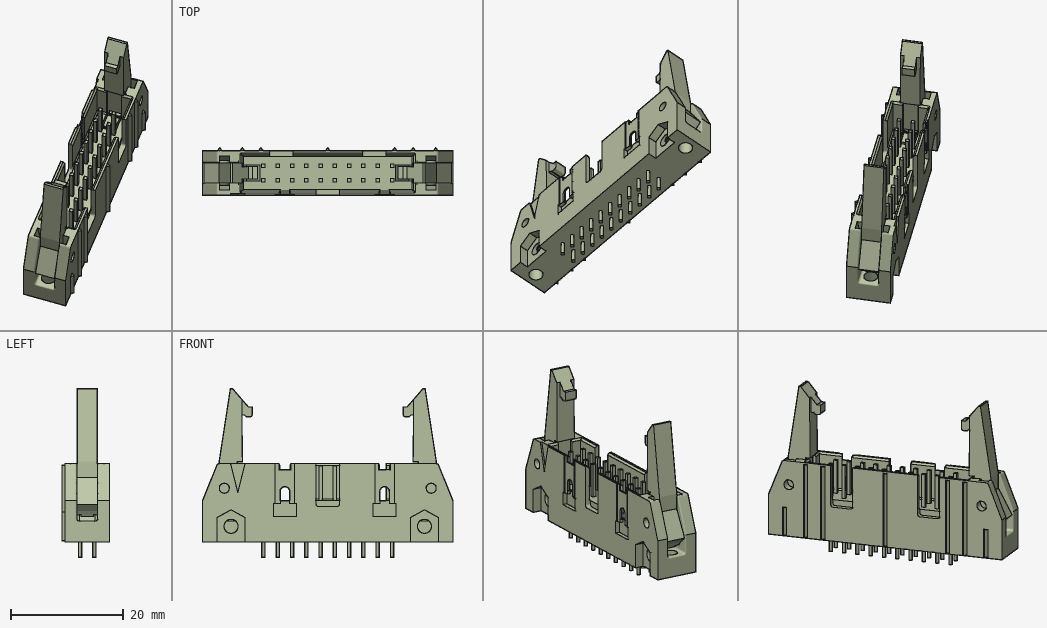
import cadquery as cq
import math


LENGTH = 44.7
DEPTH = 8.0
HEIGHT = 14.05
HALF_LENGTH = LENGTH / 2
HALF_DEPTH = DEPTH / 2
SHOULDER_HEIGHT = 7.4
SHOULDER_RUN = 2.7
SHOULDER_RADIUS = 0.5

CAVITY_HALF_LENGTH = 15.35
WALL = 0.8
CAVITY_HALF_DEPTH = HALF_DEPTH - WALL
FLOOR_Z = 7.4
FLOOR_CHAMFER = 0.25
LEAD_IN = 0.35

SLOT_WIDTH = 3.65
SLOT_HALF_WIDTH = SLOT_WIDTH / 2
SLOT_INNER_X = 15.9
SLOT_FLOOR_Z = 3.75
SLOT_CORNER_RADIUS = 0.4
SLOT_RIM_RADIUS = 0.25
CHANNEL_WIDTH = 2.8
RAMP_FOOT_X = 14.5
RAMP_TOP_X = 12.05
FLOOR_HOLE_X = 20.1
FLOOR_HOLE_DIAMETER = 2.5

PIVOT_X = 18.45
PIVOT_Z = 9.6
PIVOT_DIAMETER = 1.8
PIVOT_HALF_SPAN = 2.2
LEAD_BOTTOM_Y = 2.25
LEAD_TOP_Y = 3.0

GAP_WIDTH = 4.2
GAP_BOTTOM_Z = 6.35
GAP_INNER_Y = CAVITY_HALF_DEPTH - FLOOR_CHAMFER
GAP_RADIUS = 0.45
BACK_GAP_X = 8.3

CLIP_X = (-7.65, 10.15)
CLIP_TRACK_WIDTH = 3.5
CLIP_TRACK_DEPTH = 0.2
CLIP_POCKET_WIDTH = 4.1
CLIP_POCKET_BOTTOM_Z = 4.55
CLIP_POCKET_TOP_Z = 6.9
WINDOW_WIDTH = 1.65
WINDOW_TOP_Z = 9.9
NOTCH_WIDTH = 2.1
RELIEF_INNER_WIDTH = 1.6
NOTCH_BOTTOM_Z = 12.9

NUT_X = 17.25
NUT_WIDTH = 5.0
NUT_SHOULDER_Z = 4.4
NUT_APEX_Z = 5.75
NUT_DEPTH = 1.65
SCREW_DIAMETER = 2.5
SCREW_Z = 2.8
SCREW_DEPTH = 2.7

MARK_X = 16.05
MARK_WIDTH = 2.6
MARK_TIP_Z = 8.85
MARK_DEPTH = 0.3

RIB_WIDTH = 0.8
RIB_HEIGHT = 0.55
RIB_BOTTOM_Z = 0.22
RIB_TOP_Z = 13.72
END_RIB_TOP_Z = 5.35
RIB_X = (-15.25, -11.95, 0.0, 11.95, 15.25)
END_RIB_X = 19.25

PIN_COLUMNS = 10
PIN_ROWS = 2
PIN_PITCH = 2.55
PIN_SIZE = 0.63
PIN_TOP_Z = 13.55
TAIL_DIAMETER = 0.63
TAIL_LENGTH = 2.73

LATCH_WIDTH = 3.6
ARM_TOP_Z = 27.4
ARM_TOP_OUTER_X = 17.4
ARM_TOP_INNER_X = 17.0
ARM_OUTER_X = 19.4
ARM_INNER_X = 15.2
ARM_INNER_TOP_X = 15.35
SHELF_Z = 14.3

FOOT_INNER_X = 16.15
FOOT_TOP_Z = 11.55
FOOT_TIP_X = 22.05
FOOT_TIP_Z = 6.75
FOOT_BEND_X = 20.55
FOOT_BEND_Z = 5.5
FOOT_HEEL_X = 20.05
FOOT_BOTTOM_Z = 4.85

TONGUE_WIDTH = 2.25
TOE_TIP_X = 12.55
TOE_TIP_BOTTOM_Z = 7.0
TOE_BEND_X = 14.85
TOE_BOTTOM_Z = 4.6
TOE_HEEL_X = 19.9
HOOK_TIP_X = 13.45
HOOK_TIP_LENGTH = 0.7
HOOK_TOP_Z = 24.15
HOOK_BOTTOM_Z = 22.35
HOOK_ROUND = 0.4
HOOK_RECESS_X = 14.53
HOOK_RECESS = 0.3


def box(x_min, x_max, y_min, y_max, z_min, z_max):
    size = (x_max - x_min, y_max - y_min, z_max - z_min)
    return cq.Workplane("XY").box(*size, centered=False).translate((x_min, y_min, z_min))


def prism_y(profile, y_min, y_max):
    """Extrude a closed XZ profile from y_min to y_max."""
    return profile.extrude(y_min - y_max).translate((0, y_min, 0))


def polygon_y(points, y_min, y_max):
    return prism_y(cq.Workplane("XZ").polyline(points).close(), y_min, y_max)


def cylinder_y(x, z, diameter, y_min, y_max):
    return prism_y(cq.Workplane("XZ").center(x, z).circle(diameter / 2), y_min, y_max)


def both_ends(shape):
    """A left-end shape together with its mirror image at the right end."""
    return shape.union(shape.mirror("YZ"))


def housing_block():
    shoulder_x = HALF_LENGTH - SHOULDER_RUN
    outline = [
        (-HALF_LENGTH, 0),
        (HALF_LENGTH, 0),
        (HALF_LENGTH, SHOULDER_HEIGHT),
        (shoulder_x, HEIGHT),
        (-shoulder_x, HEIGHT),
        (-HALF_LENGTH, SHOULDER_HEIGHT),
    ]
    block = polygon_y(outline, -HALF_DEPTH, HALF_DEPTH)
    top_corners = block.faces(">Z").edges("|Y")
    return top_corners.fillet(SHOULDER_RADIUS)


def latch_slot():
    slot = box(-LENGTH, -SLOT_INNER_X, -SLOT_HALF_WIDTH, SLOT_HALF_WIDTH, SLOT_FLOOR_Z, 2 * HEIGHT)
    return slot.edges("|X and <Z").fillet(SLOT_CORNER_RADIUS)


def round_slot_rims(body):
    """Round the slot mouths along the ends, the shoulders and the top of the block."""
    tolerance = 0.005

    def on_rim(edge):
        middle = edge.Center()
        at_slot = abs(middle.y) < SLOT_HALF_WIDTH + tolerance
        at_end = abs(middle.x) > HALF_LENGTH - tolerance and middle.z > SLOT_FLOOR_Z - tolerance
        on_side = abs(middle.y) > SLOT_HALF_WIDTH - tolerance and abs(middle.x) > SLOT_INNER_X + tolerance
        above_shoulder = on_side and middle.z > SHOULDER_HEIGHT
        at_shoulder_corner = abs(middle.y) < tolerance and middle.z > SLOT_FLOOR_Z + tolerance
        return at_slot and (at_end or above_shoulder) and not at_shoulder_corner

    rim = [edge for edge in body.edges().vals() if on_rim(edge)]
    return body.newObject(rim).fillet(SLOT_RIM_RADIUS)


def toe_channel():
    """Slot through the cavity end wall, with a ramp rising to the cavity floor."""
    profile = [
        (-SLOT_INNER_X, SLOT_FLOOR_Z),
        (-RAMP_FOOT_X, SLOT_FLOOR_Z),
        (-RAMP_TOP_X, FLOOR_Z),
        (-CAVITY_HALF_LENGTH, FLOOR_Z),
        (-CAVITY_HALF_LENGTH, HEIGHT),
        (-SLOT_INNER_X, HEIGHT),
    ]
    return polygon_y(profile, -CHANNEL_WIDTH / 2, CHANNEL_WIDTH / 2)


def pivot_seat():
    """Through hole for the latch pivot, and the tapered lead-ins above it."""
    hole = cylinder_y(-PIVOT_X, PIVOT_Z, PIVOT_DIAMETER, -HALF_DEPTH, HALF_DEPTH)
    hole_top_z = PIVOT_Z + PIVOT_DIAMETER / 2
    outline = [
        (-LEAD_BOTTOM_Y, PIVOT_Z),
        (LEAD_BOTTOM_Y, PIVOT_Z),
        (LEAD_BOTTOM_Y, hole_top_z),
        (LEAD_TOP_Y, HEIGHT),
        (-LEAD_TOP_Y, HEIGHT),
        (-LEAD_BOTTOM_Y, hole_top_z),
    ]
    lead_in = cq.Workplane("YZ", origin=(-PIVOT_X, 0, 0)).polyline(outline).close()
    lead_in = lead_in.extrude(PIVOT_DIAMETER / 2, both=True)
    return hole.union(lead_in)


def floor_hole():
    hole = cq.Workplane("XY").circle(FLOOR_HOLE_DIAMETER / 2).extrude(SLOT_FLOOR_Z)
    return hole.translate((-FLOOR_HOLE_X, 0, 0))


def cavity():
    half_x, half_y = CAVITY_HALF_LENGTH, CAVITY_HALF_DEPTH
    well = box(-half_x, half_x, -half_y, half_y, FLOOR_Z, HEIGHT)
    well = well.faces("<Z").edges().chamfer(FLOOR_CHAMFER)
    flare = (
        cq.Workplane("XY", origin=(0, 0, HEIGHT - LEAD_IN))
        .rect(2 * half_x, 2 * half_y)
        .extrude(LEAD_IN, taper=-45)
    )
    return well.union(flare)


def wall_gap(x, y_min, y_max):
    half = GAP_WIDTH / 2
    gap = box(x - half, x + half, y_min, y_max, GAP_BOTTOM_Z, 2 * HEIGHT)
    return gap.edges("|Y and <Z").fillet(GAP_RADIUS)


def clip_seat(x):
    """Track, pocket, window and top notch in the front wall, with a tapered relief behind its thin skin."""
    front = -HALF_DEPTH
    inside = -CAVITY_HALF_DEPTH
    skin_back = inside - LEAD_IN
    arch_radius = WINDOW_WIDTH / 2
    arch_z = WINDOW_TOP_Z - arch_radius

    def centred_box(width, y_min, y_max, z_min, z_max):
        return box(x - width / 2, x + width / 2, y_min, y_max, z_min, z_max)

    track = centred_box(CLIP_TRACK_WIDTH, front, front + CLIP_TRACK_DEPTH, CLIP_POCKET_TOP_Z, HEIGHT)
    pocket = centred_box(CLIP_POCKET_WIDTH, front, inside, CLIP_POCKET_BOTTOM_Z, CLIP_POCKET_TOP_Z)
    window = centred_box(WINDOW_WIDTH, front, inside, CLIP_POCKET_TOP_Z, arch_z)
    arch = cylinder_y(x, arch_z, WINDOW_WIDTH, front, inside)
    notch = centred_box(NOTCH_WIDTH, front, skin_back, NOTCH_BOTTOM_Z, HEIGHT)
    relief_outline = [
        (-NOTCH_WIDTH / 2, skin_back),
        (NOTCH_WIDTH / 2, skin_back),
        (RELIEF_INNER_WIDTH / 2, -GAP_INNER_Y),
        (-RELIEF_INNER_WIDTH / 2, -GAP_INNER_Y),
    ]
    relief = cq.Workplane("XY", origin=(x, 0, FLOOR_Z)).polyline(relief_outline).close()
    relief = relief.extrude(HEIGHT - FLOOR_Z)
    return track.union(pocket).union(window).union(arch).union(notch).union(relief)


def nut_recess():
    half = NUT_WIDTH / 2
    outline = [
        (-NUT_X - half, 0),
        (-NUT_X + half, 0),
        (-NUT_X + half, NUT_SHOULDER_Z),
        (-NUT_X, NUT_APEX_Z),
        (-NUT_X - half, NUT_SHOULDER_Z),
    ]
    recess = polygon_y(outline, -HALF_DEPTH, -HALF_DEPTH + NUT_DEPTH)
    screw = cylinder_y(-NUT_X, SCREW_Z, SCREW_DIAMETER, -HALF_DEPTH, -HALF_DEPTH + SCREW_DEPTH)
    return recess.union(screw)


def pin_one_mark():
    half = MARK_WIDTH / 2
    outline = [(-MARK_X - half, HEIGHT), (-MARK_X + half, HEIGHT), (-MARK_X, MARK_TIP_Z)]
    return polygon_y(outline, -HALF_DEPTH, -HALF_DEPTH + MARK_DEPTH)


def crush_rib(x, top_z):
    half = RIB_WIDTH / 2
    return (
        cq.Workplane("XY", origin=(x, HALF_DEPTH, RIB_BOTTOM_Z))
        .polyline([(-half, 0), (half, 0), (0, RIB_HEIGHT)])
        .close()
        .extrude(top_z - RIB_BOTTOM_Z)
    )


def contact_pins():
    """Square contacts above the cavity floor and round tails below the housing."""
    contacts = (
        cq.Workplane("XY", origin=(0, 0, FLOOR_Z))
        .rarray(PIN_PITCH, PIN_PITCH, PIN_COLUMNS, PIN_ROWS)
        .rect(PIN_SIZE, PIN_SIZE)
        .extrude(PIN_TOP_Z - FLOOR_Z)
    )
    tails = (
        cq.Workplane("XY")
        .rarray(PIN_PITCH, PIN_PITCH, PIN_COLUMNS, PIN_ROWS)
        .circle(TAIL_DIAMETER / 2)
        .extrude(-TAIL_LENGTH)
    )
    return contacts, tails


def make_housing():
    body = housing_block().cut(both_ends(latch_slot()))
    body = round_slot_rims(body)
    for feature in (toe_channel(), pivot_seat(), floor_hole(), nut_recess()):
        body = body.cut(both_ends(feature))
    body = body.cut(cavity()).cut(pin_one_mark())
    body = body.cut(wall_gap(0, -HALF_DEPTH, -GAP_INNER_Y))
    for side in (-1, 1):
        body = body.cut(wall_gap(side * BACK_GAP_X, GAP_INNER_Y, HALF_DEPTH))
        body = body.union(crush_rib(side * END_RIB_X, END_RIB_TOP_Z))
    for x in CLIP_X:
        body = body.cut(clip_seat(x))
    for x in RIB_X:
        body = body.union(crush_rib(x, RIB_TOP_Z))
    contacts, tails = contact_pins()
    return body.union(contacts).union(tails)


def latch_body():
    """Full-width arm and foot. The arm top slopes in line with the top of the hook."""
    hook_slope_x = HOOK_TIP_X + HOOK_TIP_LENGTH
    slope = (ARM_TOP_Z - HOOK_TOP_Z) / (ARM_TOP_INNER_X - hook_slope_x)
    arm_inner_top_z = ARM_TOP_Z - slope * (ARM_TOP_INNER_X - ARM_INNER_TOP_X)
    outline = [
        (-ARM_OUTER_X, SHELF_Z),
        (-ARM_TOP_OUTER_X, ARM_TOP_Z),
        (-ARM_TOP_INNER_X, ARM_TOP_Z),
        (-ARM_INNER_TOP_X, arm_inner_top_z),
        (-ARM_INNER_X, SHELF_Z),
        (-FOOT_INNER_X, SHELF_Z),
        (-FOOT_INNER_X, FOOT_BOTTOM_Z),
        (-FOOT_HEEL_X, FOOT_BOTTOM_Z),
        (-FOOT_BEND_X, FOOT_BEND_Z),
        (-FOOT_TIP_X, FOOT_TIP_Z),
        (-ARM_OUTER_X, FOOT_TOP_Z),
    ]
    return polygon_y(outline, -LATCH_WIDTH / 2, LATCH_WIDTH / 2)


def latch_hook():
    recess_z = HOOK_BOTTOM_Z + HOOK_RECESS
    round_offset = HOOK_ROUND * (1 - math.sqrt(0.5))
    profile = (
        cq.Workplane("XZ")
        .moveTo(-ARM_TOP_INNER_X, ARM_TOP_Z)
        .lineTo(-HOOK_TIP_X - HOOK_TIP_LENGTH, HOOK_TOP_Z)
        .lineTo(-HOOK_TIP_X, HOOK_TOP_Z)
        .lineTo(-HOOK_TIP_X, HOOK_BOTTOM_Z + HOOK_ROUND)
        .threePointArc(
            (-HOOK_TIP_X - round_offset, HOOK_BOTTOM_Z + round_offset),
            (-HOOK_TIP_X - HOOK_ROUND, HOOK_BOTTOM_Z),
        )
        .lineTo(-HOOK_RECESS_X, HOOK_BOTTOM_Z)
        .lineTo(-HOOK_RECESS_X - HOOK_RECESS, recess_z)
        .lineTo(-ARM_TOP_INNER_X, recess_z)
        .close()
    )
    return prism_y(profile, -TONGUE_WIDTH / 2, TONGUE_WIDTH / 2)


def latch_toe():
    outline = [
        (-FOOT_HEEL_X, FOOT_BOTTOM_Z),
        (-FOOT_INNER_X, FOOT_BOTTOM_Z),
        (-FOOT_INNER_X, FLOOR_Z),
        (-TOE_TIP_X, FLOOR_Z),
        (-TOE_TIP_X, TOE_TIP_BOTTOM_Z),
        (-TOE_BEND_X, TOE_BOTTOM_Z),
        (-TOE_HEEL_X, TOE_BOTTOM_Z),
    ]
    return polygon_y(outline, -TONGUE_WIDTH / 2, TONGUE_WIDTH / 2)


def make_latch():
    pivot = cylinder_y(-PIVOT_X, PIVOT_Z, PIVOT_DIAMETER, -PIVOT_HALF_SPAN, PIVOT_HALF_SPAN)
    return latch_body().union(latch_hook()).union(latch_toe()).union(pivot)


housing = make_housing()
left_latch = make_latch()
latches = [left_latch, left_latch.mirror("YZ")]

result = cq.Compound.makeCompound([housing.val(), *(latch.val() for latch in latches)])